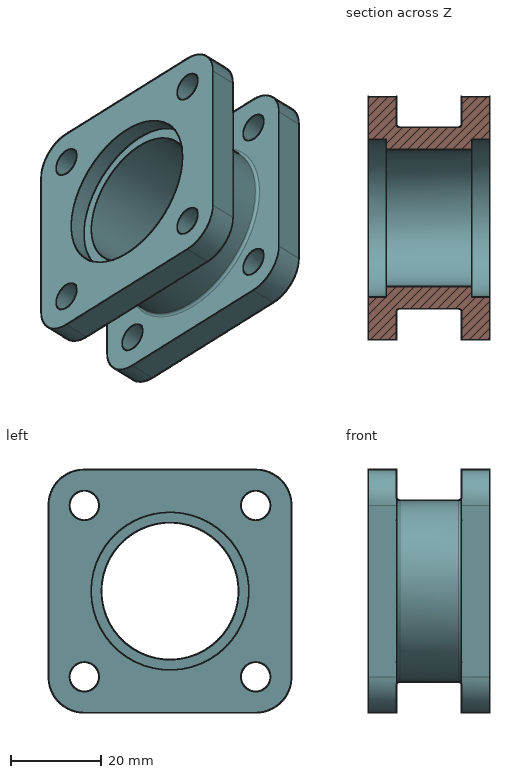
import cadquery as cq

length = 27.0
flange_side = 54.0
flange_thickness = 6.3
corner_radius = 8.0

tube_diameter = 40.4
tube_fillet = 0.65
bore_diameter = 30.35

seat_diameter = 35.0
seat_depth = 4.0

bolt_diameter = 6.5
bolt_pitch = flange_side - 2 * corner_radius

end_x = length / 2
inner_face_x = end_x - flange_thickness


def cylinder(diameter, start_x, stop_x):
    """Solid cylinder on the X axis between two X positions."""
    return cq.Workplane("YZ", origin=(start_x, 0, 0)).circle(diameter / 2).extrude(stop_x - start_x)


def flange(start_x):
    """Square plate with rounded corners, growing toward +X."""
    return (
        cq.Workplane("YZ", origin=(start_x, 0, 0))
        .rect(flange_side, flange_side)
        .extrude(flange_thickness)
        .edges("|X")
        .fillet(corner_radius)
    )


body = flange(-end_x).union(flange(inner_face_x))
body = body.union(cylinder(tube_diameter, -inner_face_x, inner_face_x))
root_zone = cq.selectors.BoxSelector(
    (-inner_face_x - tube_fillet, -tube_diameter / 2, -tube_diameter / 2),
    (inner_face_x + tube_fillet, tube_diameter / 2, tube_diameter / 2),
)
body = body.edges("%CIRCLE").edges(root_zone).fillet(tube_fillet)

body = body.cut(cylinder(bore_diameter, -end_x, end_x))
body = body.cut(cylinder(seat_diameter, -end_x, -end_x + seat_depth))
body = body.cut(cylinder(seat_diameter, end_x - seat_depth, end_x))

bolt_holes = (
    cq.Workplane("YZ", origin=(-end_x, 0, 0))
    .rect(bolt_pitch, bolt_pitch, forConstruction=True)
    .vertices()
    .circle(bolt_diameter / 2)
    .extrude(length)
)
result = body.cut(bolt_holes)